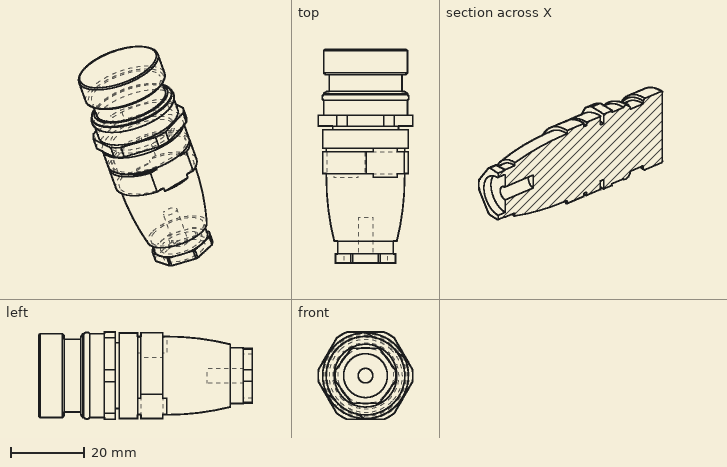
import cadquery as cq

LENGTH = 58.5

SLEEVE_RADIUS = 11.5
REAR_EDGE_LENGTH = 0.4
REAR_EDGE_HEIGHT = 0.45
COLLAR_EDGE_LENGTH = 0.55
COLLAR_EDGE_HEIGHT = 0.6
COLLAR_END = 7.0
NECK_RADIUS = 10.0
NECK_END = 11.5
SEAL_EDGE_LENGTH = 0.6
SEAL_EDGE_HEIGHT = 0.9
SEAL_SECTION_END = 18.0

O_RING_START = 12.4
O_RING_END = 14.0
O_RING_OUTER_RADIUS = 11.9

FLANGE_END = 21.0
FLANGE_SIDES = 6
FIRST_FLANGE_FLAT_ANGLE = 30.0
FLANGE_ACROSS_FLATS = 24.0
FLANGE_CORNER_RADIUS = 13.0

RELIEF_RADIUS = 9.05
RELIEF_END = 22.0
RING_RADIUS = 11.75
PLAIN_RING_END = 27.1
UNDERCUT_RADIUS = 10.75
WRENCH_RING_START = 28.0
WRENCH_RING_END = 34.0

FLAT_DISTANCE = 10.0
FLAT_ANGLE = 57.0

BODY_START = 35.0
BODY_END = 52.5
BODY_END_RADIUS = 8.6
BODY_ARC_RADIUS = 72.0
CAP_RADIUS = 7.65
CAP_END = 56.0

NUT_FLAT_DISTANCE = 7.5
NUT_CORNER_RADIUS = 8.27
NUT_SIDE_ANGLE = 36.0

ENTRY_RADIUS = 6.0
ENTRY_DEPTH = 2.5
CABLE_HOLE_RADIUS = 2.0
CABLE_HOLE_DEPTH = 10.0

CUTTER_SIZE = 3 * FLANGE_CORNER_RADIUS


def section_plane(station):
    """Plane across the axis whose normal points to the nut and whose local axes are X and Z."""
    origin = (0, LENGTH - station, 0)
    return cq.Workplane(cq.Plane(origin=origin, xDir=(1, 0, 0), normal=(0, -1, 0)))


def cylinder(start, end, radius):
    return section_plane(start).circle(radius).extrude(end - start)


def revolve_about_axis(profile):
    return profile.close().revolve(360, (0, 0, 0), (0, 1, 0))


def trim_flat(solid, start, end, distance, angle):
    """Remove the material beyond a flat facing the given angle from +X toward +Z."""
    cutter = (
        section_plane(start)
        .rect(CUTTER_SIZE, CUTTER_SIZE)
        .extrude(end - start)
        .translate((distance + CUTTER_SIZE / 2, 0, 0))
        .rotate((0, 0, 0), (0, 1, 0), -angle)
    )
    return solid.cut(cutter)


def trim_flats(solid, start, end, distance, angles):
    for angle in angles:
        solid = trim_flat(solid, start, end, distance, angle)
    return solid


def make_collar():
    collar_back = LENGTH
    collar_front = LENGTH - COLLAR_END
    return revolve_about_axis(
        cq.Workplane("XY")
        .moveTo(0, collar_back)
        .lineTo(SLEEVE_RADIUS - REAR_EDGE_HEIGHT, collar_back)
        .lineTo(SLEEVE_RADIUS, collar_back - REAR_EDGE_LENGTH)
        .lineTo(SLEEVE_RADIUS, collar_front + COLLAR_EDGE_LENGTH)
        .lineTo(SLEEVE_RADIUS - COLLAR_EDGE_HEIGHT, collar_front)
        .lineTo(0, collar_front)
    )


def make_seal_section():
    """Sealing cylinder with a bevelled back edge and the rounded bead of its O-ring."""
    seal_back = LENGTH - NECK_END
    o_ring_middle = LENGTH - (O_RING_START + O_RING_END) / 2
    seal_front = LENGTH - SEAL_SECTION_END
    return revolve_about_axis(
        cq.Workplane("XY")
        .moveTo(0, seal_back)
        .lineTo(SLEEVE_RADIUS - SEAL_EDGE_HEIGHT, seal_back)
        .lineTo(SLEEVE_RADIUS, seal_back - SEAL_EDGE_LENGTH)
        .lineTo(SLEEVE_RADIUS, LENGTH - O_RING_START)
        .threePointArc((O_RING_OUTER_RADIUS, o_ring_middle), (SLEEVE_RADIUS, LENGTH - O_RING_END))
        .lineTo(SLEEVE_RADIUS, seal_front)
        .lineTo(0, seal_front)
    )


def make_flange():
    flange = cylinder(SEAL_SECTION_END, FLANGE_END, FLANGE_CORNER_RADIUS)
    angles = [FIRST_FLANGE_FLAT_ANGLE + side * 360 / FLANGE_SIDES for side in range(FLANGE_SIDES)]
    return trim_flats(flange, SEAL_SECTION_END, FLANGE_END, FLANGE_ACROSS_FLATS / 2, angles)


def make_rings():
    """Plain ring, undercuts and the ring carrying two opposite wrench flats."""
    plain_ring = cylinder(FLANGE_END, RELIEF_END, RELIEF_RADIUS).union(
        cylinder(RELIEF_END, PLAIN_RING_END, RING_RADIUS)
    )
    wrench_section = cylinder(PLAIN_RING_END, BODY_START, UNDERCUT_RADIUS).union(
        cylinder(WRENCH_RING_START, WRENCH_RING_END, RING_RADIUS)
    )
    angles = (FLAT_ANGLE, FLAT_ANGLE + 180)
    wrench_section = trim_flats(wrench_section, PLAIN_RING_END, BODY_START, FLAT_DISTANCE, angles)
    return plain_ring.union(wrench_section)


def make_body():
    """Barrel that starts at the undercut radius, nearly parallel to the axis, and narrows in one arc."""
    body_back = LENGTH - BODY_START
    body_front = LENGTH - BODY_END
    return revolve_about_axis(
        cq.Workplane("XY")
        .moveTo(0, body_back)
        .lineTo(UNDERCUT_RADIUS, body_back)
        .radiusArc((BODY_END_RADIUS, body_front), BODY_ARC_RADIUS)
        .lineTo(0, body_front)
    )


def make_nut():
    nut = cylinder(CAP_END, LENGTH, NUT_CORNER_RADIUS)
    upper_angles = (NUT_SIDE_ANGLE, 90, 180 - NUT_SIDE_ANGLE)
    angles = upper_angles + tuple(angle + 180 for angle in upper_angles)
    return trim_flats(nut, CAP_END, LENGTH, NUT_FLAT_DISTANCE, angles)


def make_cable_entry():
    entry_floor = LENGTH - ENTRY_DEPTH
    entry = cylinder(entry_floor, LENGTH, ENTRY_RADIUS)
    return entry.union(cylinder(entry_floor - CABLE_HOLE_DEPTH, entry_floor, CABLE_HOLE_RADIUS))


result = (
    make_collar()
    .union(cylinder(COLLAR_END, NECK_END, NECK_RADIUS))
    .union(make_seal_section())
    .union(make_flange())
    .union(make_rings())
    .union(make_body())
    .union(cylinder(BODY_END, CAP_END, CAP_RADIUS))
    .union(make_nut())
    .cut(make_cable_entry())
)